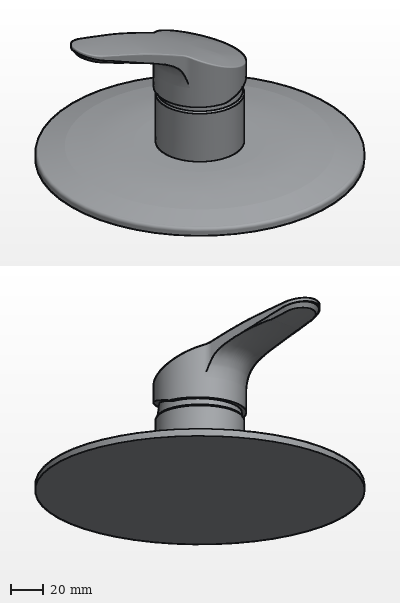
import cadquery as cq
import math

plate_radius = 102.5
rim_height = 3.0
rim_round = 2.3
shoulder_radius = 84.0
shoulder_height = 8.8
plate_flat_radius = 41.0
plate_height = 12.3
shoulder_slope = 0.13

sleeve_radius = 27.7
sleeve_top = 46.1
neck_radius = 26.6
neck_bottom = 47.3
neck_top_radius = 25.0
neck_top = 59.5

cap_radius = 28.9
cap_front_bottom = 51.0
cap_mid_bottom = 51.6
cap_back_bottom = 59.5

lever_reach = 93.5
tip_radius = 14.1
underside_slope = 0.28
root_half_width = 18.6
root_y = -20.5
root_blend = 6.1
crown_radius = 153.7
handle_edge_round = 0.8

flank_inset = 2.7
flank_depth = 2.7
flank_root = 53.3
flank_runout = 12.3
underside_margin = 1.0

section_depth = 82.0
section_half_width = 41.0
blank_height = 123.0

top_line = [(49.2, 58.6), (28.7, 67.8), (-10.2, 83.8), (-29.3, 90.4), (-50.5, 96.5), (-71.7, 101.0), (-106.5, 108.2)]
underside = [(cap_radius, 64.5), (33.2, 79.1), (42.8, 85.5), (69.7, 93.2), (lever_reach, 99.8)]


def make_plate():
    corner_shift = rim_round * math.sqrt(0.5)
    rim_inner = plate_radius - rim_round
    return (
        cq.Workplane("XZ")
        .lineTo(plate_radius, 0)
        .lineTo(plate_radius, rim_height)
        .threePointArc(
            (rim_inner + corner_shift, rim_height + corner_shift),
            (rim_inner, rim_height + rim_round),
        )
        .lineTo(shoulder_radius, shoulder_height)
        .spline([(plate_flat_radius, plate_height)], tangents=[(-1, shoulder_slope), (-1, 0)], includeCurrent=True)
        .lineTo(0, plate_height)
        .close()
        .revolve(360, (0, 0), (0, 1))
    )


def make_sleeve():
    return (
        cq.Workplane("XZ")
        .lineTo(sleeve_radius, 0)
        .lineTo(sleeve_radius, sleeve_top)
        .lineTo(neck_radius, neck_bottom)
        .lineTo(neck_top_radius, neck_top)
        .lineTo(0, neck_top)
        .close()
        .revolve(360, (0, 0), (0, 1))
    )


def make_handle_outline():
    """Plan shape of the handle: a disc blended into a tapering, round-ended lever."""
    tip_y = tip_radius - lever_reach
    dx, dy = root_half_width, root_y - tip_y
    angle = math.atan2(dy, dx) - math.acos(tip_radius / math.hypot(dx, dy))
    side_x = tip_radius * math.cos(angle)
    side_y = tip_y + tip_radius * math.sin(angle)
    lever = (
        cq.Workplane("XY")
        .lineTo(root_half_width, root_y)
        .lineTo(side_x, side_y)
        .threePointArc((0, -lever_reach), (-side_x, side_y))
        .lineTo(-root_half_width, root_y)
        .close()
        .extrude(blank_height)
    )
    outline = cq.Workplane("XY").circle(cap_radius).extrude(blank_height).union(lever)
    corner_y = -math.sqrt(cap_radius**2 - root_half_width**2)
    corners = cq.selectors.BoxSelector(
        (-cap_radius, corner_y - 2, 0),
        (cap_radius, corner_y + 2, blank_height),
    )
    return outline.edges("|Z").edges(corners).fillet(root_blend)


def make_crown():
    """Everything below the crowned top surface, swept along the top centre line."""
    path = cq.Workplane("YZ").spline(top_line)
    start_y, start_z = top_line[0]
    edge_drop = crown_radius - math.sqrt(crown_radius**2 - section_half_width**2)
    return (
        cq.Workplane("XZ", origin=(0, start_y, start_z))
        .moveTo(-section_half_width, -edge_drop)
        .threePointArc((0, 0), (section_half_width, -edge_drop))
        .lineTo(section_half_width, -section_depth)
        .lineTo(-section_half_width, -section_depth)
        .close()
        .sweep(path)
    )


def make_underside_clearance():
    """Space below the lever; turned about the sleeve axis so the cap stays round where the lever flares out."""
    clear_radius = lever_reach + section_half_width
    return (
        cq.Workplane("XZ")
        .moveTo(cap_radius, 0)
        .lineTo(*underside[0])
        .spline(underside[1:], tangents=[(0, 1), (1, underside_slope)], includeCurrent=True)
        .lineTo(clear_radius, underside[-1][1])
        .lineTo(clear_radius, 0)
        .close()
        .revolve(360, (0, 0), (0, 1))
    )


def make_flank_cutter():
    """Bevel round the underside of the lever, running out where the lever flares into the cap."""
    (start_reach, start_z), (end_reach, end_z) = underside[2], underside[-1]
    lever_tilt = math.atan2(end_z - start_z, end_reach - start_reach)
    plane = cq.Plane(
        origin=(0, -lever_reach, end_z - underside_margin),
        xDir=(1, 0, 0),
        normal=(0, math.sin(lever_tilt), math.cos(lever_tilt)),
    )
    depth = flank_depth + underside_margin
    inset = flank_inset * depth / flank_depth
    arc_radius = tip_radius - inset
    root_width = root_half_width - inset
    runout_end = flank_root + flank_runout
    core = (
        cq.Workplane(plane)
        .moveTo(-arc_radius, tip_radius)
        .threePointArc((0, inset), (arc_radius, tip_radius))
        .lineTo(root_width, flank_root)
        .lineTo(root_half_width + inset, runout_end)
        .lineTo(-root_half_width - inset, runout_end)
        .lineTo(-root_width, flank_root)
        .close()
        .extrude(depth, taper=-math.degrees(math.atan2(inset, depth)))
    )
    slab = (
        cq.Workplane(plane)
        .center(0, (runout_end - inset) / 2)
        .rect(2 * section_half_width, runout_end + inset)
        .extrude(depth)
    )
    return slab.cut(core)


def make_handle():
    cap_side = (
        cq.Workplane("YZ")
        .moveTo(cap_radius, cap_back_bottom)
        .lineTo(0, cap_mid_bottom)
        .lineTo(-cap_radius, cap_front_bottom)
        .lineTo(-lever_reach, cap_front_bottom)
        .lineTo(-lever_reach, blank_height)
        .lineTo(cap_radius, blank_height)
        .close()
        .extrude(section_half_width, both=True)
    )
    handle = make_handle_outline().intersect(cap_side).intersect(make_crown())
    handle = handle.cut(make_underside_clearance())
    handle = handle.faces("%BSPLINE").edges().fillet(handle_edge_round)
    return handle.cut(make_flank_cutter())


result = make_plate().union(make_sleeve()).union(make_handle())